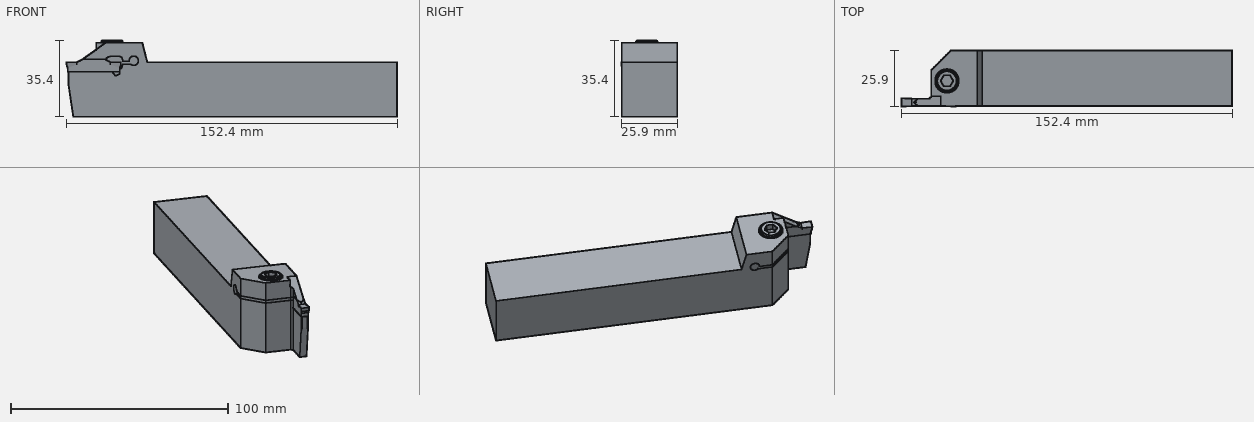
import cadquery as cq
import math


LENGTH = 152.4
WIDTH = 25.6
SHANK_HEIGHT = 25.3
HEAD_HEIGHT = 34.3
HEAD_FRONT = 13.7
HEAD_TOP_END = 35.0
HEAD_FOOT_END = 37.3
HEAD_CORNER = 9.1

BLADE_WIDTH = 3.4
BLADE_FRONT = 0.9
BLADE_BOTTOM_FRONT = 3.2
BEND_HEIGHT = 15.2
BLADE_ROOT_LENGTH = 1.0
BLADE_ROOT_WIDTH = 0.9
NOSE_BEVEL_DEPTH = 0.23
NOSE_BEVEL_WIDTH = 0.5
SLOPE_TOP = 18.3
SLOPE_ANGLE = 35.5
SLOPE_WIDTH = 4.5

INSERT_LENGTH = 25.1
INSERT_BOTTOM = 20.7
INSERT_TOP = 26.7
INSERT_GROOVE = 0.9
END_RELIEF = 0.6
EDGE_RELIEF = (0.2, 23.6)
EDGE_LENGTH = 4.9
EDGE_OVERHANG = 0.3
FLANK_BACK = 24.2
FLANK_FRONT_HEIGHT = 22.5

SLOT_BOTTOM = 24.4
SLOT_TOP = 25.8
RELIEF_CENTER = (31.1, 25.9)
RELIEF_RADIUS = 2.1
POCKET_DEPTH = 4.5
DOME_LEFT = (18.1, 26.5)
DOME_LOWER_LEFT = (19.2, 25.5)
DOME_LEFT_BULGE = (19.0, 27.5)
DOME_TOP_LEFT = (20.4, 27.9)
DOME_TOP_RIGHT = (24.1, 27.9)
DOME_RIGHT_BULGE = (25.5, 27.5)
DOME_RIGHT = (25.9, 26.4)
HOLLOW_BULGE = (25.5, 22.7)
HOLLOW_BOTTOM = 22.0
NOTCH_LEFT = 21.2
NOTCH_TIP = (22.7, 18.9)
NOTCH_RIGHT_HEIGHT = 19.8

SCREW_CENTER = (21.0, 11.6)
SCREW_TOP = 35.4
SCREW_HEAD_DIAMETER = 10.0
SCREW_HEAD_BOTTOM = 29.0
SCREW_HEAD_CHAMFER = 0.6
SCREW_SHANK_DIAMETER = 6.5
SCREW_TIP = 12.2
SOCKET_FLATS = 5.0
SOCKET_DEPTH = 3.0
COUNTERBORE_DIAMETER = 11.0

SLOPE_TAN = math.tan(math.radians(SLOPE_ANGLE))


def slope_x(height):
    """X of the sloping front of the clamping jaw at a given height."""
    return SLOPE_TOP - (HEAD_HEIGHT - height) / SLOPE_TAN


def side_prism(points, y_start, y_end):
    """Extrude an X-Z outline between two Y positions."""
    outline = cq.Workplane("XZ", origin=(0, y_start, 0)).polyline(points).close()
    return outline.extrude(y_start - y_end)


def plan_prism(points):
    """Extrude an X-Y outline over the full height of the holder."""
    return cq.Workplane("XY").polyline(points).close().extrude(HEAD_HEIGHT)


def screw_cylinder(diameter, z_bottom, z_top):
    return (
        cq.Workplane("XY", origin=(*SCREW_CENTER, z_bottom))
        .circle(diameter / 2)
        .extrude(z_top - z_bottom)
    )


def make_insert():
    ramp_end = slope_x(INSERT_TOP)
    relief_x, relief_z = EDGE_RELIEF
    body = side_prism(
        [
            (0, SHANK_HEIGHT),
            (EDGE_LENGTH, SHANK_HEIGHT),
            (ramp_end, INSERT_TOP),
            (INSERT_LENGTH - ramp_end, INSERT_TOP),
            (INSERT_LENGTH - EDGE_LENGTH, SHANK_HEIGHT),
            (INSERT_LENGTH, SHANK_HEIGHT),
            (INSERT_LENGTH - relief_x, relief_z),
            (INSERT_LENGTH - END_RELIEF, FLANK_FRONT_HEIGHT),
            (INSERT_LENGTH - END_RELIEF, INSERT_BOTTOM),
            (END_RELIEF, INSERT_BOTTOM),
            (END_RELIEF, FLANK_FRONT_HEIGHT),
            EDGE_RELIEF,
        ],
        0,
        BLADE_WIDTH,
    )
    groove = (
        cq.Workplane("YZ")
        .polyline([(0, INSERT_TOP), (BLADE_WIDTH, INSERT_TOP), (BLADE_WIDTH / 2, INSERT_TOP - INSERT_GROOVE)])
        .close()
        .extrude(INSERT_LENGTH)
    )
    tip = make_insert_tip()
    middle = (INSERT_LENGTH / 2, 0, 0)
    return body.cut(groove).union(tip).union(tip.mirror("YZ", middle))


def make_insert_tip():
    """Cutting end of the insert: it widens evenly from the lower flank edge to the cutting corner."""
    run = EDGE_LENGTH - END_RELIEF
    rise = FLANK_BACK - FLANK_FRONT_HEIGHT
    edge = math.hypot(run, rise)
    corner_height = (END_RELIEF * rise + (SHANK_HEIGHT - FLANK_FRONT_HEIGHT) * run) / edge
    outline = side_prism(
        [
            (0, SHANK_HEIGHT),
            (EDGE_LENGTH, SHANK_HEIGHT),
            (EDGE_LENGTH, FLANK_BACK),
            (END_RELIEF, FLANK_FRONT_HEIGHT),
            EDGE_RELIEF,
        ],
        -EDGE_OVERHANG,
        BLADE_WIDTH + EDGE_OVERHANG,
    )
    flank_plane = cq.Plane(
        origin=(END_RELIEF, 0, FLANK_FRONT_HEIGHT),
        xDir=(0, 1, 0),
        normal=(run, 0, rise),
    )
    section = [
        (0, 0),
        (-EDGE_OVERHANG, corner_height),
        (BLADE_WIDTH + EDGE_OVERHANG, corner_height),
        (BLADE_WIDTH, 0),
    ]
    flanks = cq.Workplane(flank_plane).polyline(section).close().extrude(EDGE_LENGTH * 2, both=True)
    return outline.intersect(flanks)


def make_slot_shape():
    """Everything the relief slot takes out of the head, before the insert is seated."""
    end_x = INSERT_LENGTH - END_RELIEF
    pocket = (
        cq.Workplane("XZ")
        .moveTo(*DOME_LEFT)
        .threePointArc(DOME_LEFT_BULGE, DOME_TOP_LEFT)
        .lineTo(*DOME_TOP_RIGHT)
        .threePointArc(DOME_RIGHT_BULGE, DOME_RIGHT)
        .lineTo(DOME_RIGHT[0], SLOT_BOTTOM)
        .threePointArc(HOLLOW_BULGE, (end_x, HOLLOW_BOTTOM))
        .lineTo(end_x, NOTCH_RIGHT_HEIGHT)
        .lineTo(*NOTCH_TIP)
        .lineTo(NOTCH_LEFT, INSERT_BOTTOM)
        .lineTo(*DOME_LOWER_LEFT)
        .close()
        .extrude(-POCKET_DEPTH)
    )
    relief_x = RELIEF_CENTER[0]
    back_slot = side_prism(slot_outline(end_x, relief_x), 0, WIDTH)
    front_slot = side_prism(slot_outline(HEAD_FRONT, end_x), BLADE_WIDTH, WIDTH)
    relief = cq.Workplane("XZ").center(*RELIEF_CENTER).circle(RELIEF_RADIUS).extrude(-WIDTH)
    return pocket.union(back_slot).union(front_slot).union(relief).intersect(make_holder_plan())


def slot_outline(x_start, x_end):
    return [(x_start, SLOT_BOTTOM), (x_end, SLOT_BOTTOM), (x_end, SLOT_TOP), (x_start, SLOT_TOP)]


def make_holder_plan():
    """Plan of the holder: narrow blade, bevelled root, then the head with its cut-off corner."""
    return plan_prism(
        [
            (BLADE_FRONT + NOSE_BEVEL_DEPTH, 0),
            (LENGTH, 0),
            (LENGTH, WIDTH),
            (HEAD_FRONT + HEAD_CORNER, WIDTH),
            (HEAD_FRONT, WIDTH - HEAD_CORNER),
            (HEAD_FRONT, BLADE_WIDTH + BLADE_ROOT_WIDTH),
            (HEAD_FRONT - BLADE_ROOT_LENGTH, BLADE_WIDTH),
            (BLADE_FRONT + NOSE_BEVEL_DEPTH, BLADE_WIDTH),
            (BLADE_FRONT, BLADE_WIDTH - NOSE_BEVEL_WIDTH),
            (BLADE_FRONT, NOSE_BEVEL_WIDTH),
        ]
    )


def make_holder(insert, slot_shape):
    shank_side = [
        (BLADE_BOTTOM_FRONT, 0),
        (LENGTH, 0),
        (LENGTH, SHANK_HEIGHT),
        (HEAD_FOOT_END, SHANK_HEIGHT),
        (HEAD_TOP_END, HEAD_HEIGHT),
    ]
    blade_side = shank_side + [
        (SLOPE_TOP, HEAD_HEIGHT),
        (slope_x(INSERT_TOP), INSERT_TOP),
        (EDGE_LENGTH, SHANK_HEIGHT),
        (EDGE_LENGTH, INSERT_BOTTOM),
        (BLADE_FRONT, INSERT_BOTTOM),
        (BLADE_FRONT, BEND_HEIGHT),
    ]
    head_side = shank_side + [
        (HEAD_FRONT, HEAD_HEIGHT),
        (HEAD_FRONT, INSERT_BOTTOM),
        (BLADE_FRONT, INSERT_BOTTOM),
        (BLADE_FRONT, BEND_HEIGHT),
    ]
    blank = side_prism(blade_side, 0, SLOPE_WIDTH).union(side_prism(head_side, SLOPE_WIDTH, WIDTH))
    counterbore = screw_cylinder(COUNTERBORE_DIAMETER, SCREW_HEAD_BOTTOM, HEAD_HEIGHT)
    return (
        blank.intersect(make_holder_plan())
        .cut(slot_shape)
        .cut(insert)
        .cut(counterbore)
        .cut(make_screw_shank())
    )


def make_filler(insert, slot_shape):
    return slot_shape.cut(insert).cut(make_screw_shank())


def make_screw_shank():
    """Plain screw shank, which also cuts its own matching hole."""
    return screw_cylinder(SCREW_SHANK_DIAMETER, SCREW_TIP, SCREW_HEAD_BOTTOM)


def make_screw():
    head = screw_cylinder(SCREW_HEAD_DIAMETER, SCREW_HEAD_BOTTOM, SCREW_TOP)
    head = head.faces(">Z").edges().chamfer(SCREW_HEAD_CHAMFER)
    socket_corners = SOCKET_FLATS / math.cos(math.pi / 6)
    socket = (
        cq.Workplane("XY", origin=(*SCREW_CENTER, SCREW_TOP - SOCKET_DEPTH))
        .polygon(6, socket_corners)
        .extrude(SOCKET_DEPTH)
    )
    return head.union(make_screw_shank()).cut(socket)


insert = make_insert()
slot_shape = make_slot_shape()
holder = make_holder(insert, slot_shape)
filler = make_filler(insert, slot_shape)
screw = make_screw()

result = cq.Compound.makeCompound([holder.val(), insert.val(), filler.val(), screw.val()])